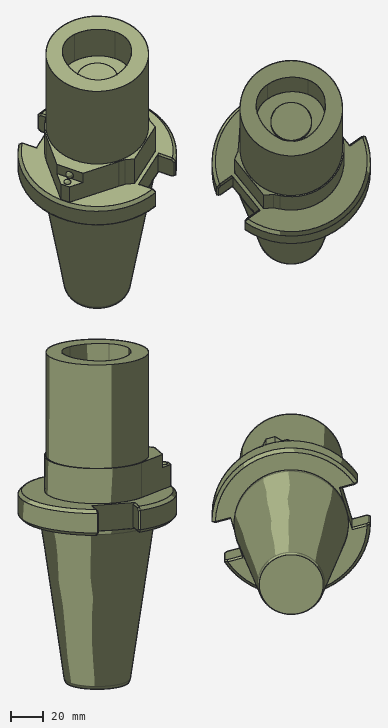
import cadquery as cq
import math

total_height = 208.5
neck_bottom = 102.2
flange_bottom = 104.5
flange_top = 121.0
collar_top = 143.0

taper_small_radius = 20.5
taper_large_radius = 35.0
taper_end_chamfer_width = 0.8
taper_end_chamfer_height = 2.0
flange_radius = 48.5
flange_chamfer = 2.0
barrel_radius = 31.5

collar_radius = 32.3
nose_tip_y = -46.0
nose_tip_half_width = 3.0
lobe_root_x = 24.6
lobe_bend_x = 27.3
lobe_bend_y = 18.0
lobe_half_width = 14.8

ledge_wall_y = -39.2
ledge_depth = 8.3
wall_ball_radius = 2.5
wall_ball_drop = 5.2
ledge_ball_radius = 2.5
ledge_ball_y = -42.8
ledge_ball_sink = 1.3

slot_floor_x = 34.8
left_slot_half_width = 12.7
right_slot_half_width = 13.4
slot_edge_chamfer = 1.0

socket_lobe_reach = 22.0
socket_flank_reach = 20.5
socket_lobe_radius = 16.7
socket_depth = 24.0
boss_radius = 12.5
boss_height = 2.0


def make_taper():
    end_radius = taper_small_radius - taper_end_chamfer_width
    outline = [
        (0, 0),
        (end_radius, 0),
        (taper_small_radius, taper_end_chamfer_height),
        (taper_large_radius, neck_bottom),
        (taper_large_radius, flange_bottom),
        (0, flange_bottom),
    ]
    return cq.Workplane("XZ").polyline(outline).close().revolve(360, (0, 0), (0, 1))


def cut_slot(flange, side, half_width):
    """Cut one drive slot and bevel the edges of its two side walls."""
    length = flange_radius - slot_floor_x
    height = flange_top - flange_bottom
    middle_x = side * (slot_floor_x + length / 2)
    slot = (
        cq.Workplane("XY", origin=(middle_x, 0, flange_bottom))
        .rect(length, 2 * half_width)
        .extrude(height, both=True)
    )
    flange = flange.cut(slot)
    edges = []
    for face in flange.faces("|Y").vals():
        if face.Center().x * side > 0:
            edges += [
                edge for edge in face.Edges()
                if edge.Center().x * side > slot_floor_x + slot_edge_chamfer
            ]
    return flange.newObject(edges).chamfer(slot_edge_chamfer)


def make_flange():
    flange = (
        cq.Workplane("XY", origin=(0, 0, flange_bottom))
        .circle(flange_radius)
        .extrude(flange_top - flange_bottom)
        .edges()
        .chamfer(flange_chamfer)
    )
    flange = cut_slot(flange, -1, left_slot_half_width)
    return cut_slot(flange, 1, right_slot_half_width)


def make_collar():
    height = collar_top - flange_top
    base = cq.Workplane("XY", origin=(0, 0, flange_top))
    collar = base.circle(collar_radius).extrude(height)

    tip_distance = math.hypot(nose_tip_half_width, nose_tip_y)
    tangent_angle = (
        math.atan2(nose_tip_y, nose_tip_half_width) + math.acos(collar_radius / tip_distance)
    )
    tangent_x = collar_radius * math.cos(tangent_angle)
    tangent_y = collar_radius * math.sin(tangent_angle)
    nose = base.polyline([
        (0, 0),
        (-tangent_x, tangent_y),
        (-nose_tip_half_width, nose_tip_y),
        (nose_tip_half_width, nose_tip_y),
        (tangent_x, tangent_y),
    ]).close().extrude(height)

    lobe_root_y = math.sqrt(collar_radius**2 - lobe_root_x**2)
    lobe = base.polyline([
        (0, 0),
        (lobe_root_x, -lobe_root_y),
        (lobe_bend_x, -lobe_bend_y),
        (collar_radius, -lobe_half_width),
        (collar_radius, lobe_half_width),
        (lobe_bend_x, lobe_bend_y),
        (lobe_root_x, lobe_root_y),
    ]).close().extrude(height)
    return collar.union(nose).union(lobe)


def cut_ledge(body):
    ledge_z = collar_top - ledge_depth
    ledge = cq.Workplane("XY").box(
        2 * collar_radius, ledge_wall_y - nose_tip_y, ledge_depth, centered=(True, False, False)
    ).translate((0, nose_tip_y, ledge_z))
    wall_ball = cq.Workplane("XY").sphere(wall_ball_radius).translate(
        (0, ledge_wall_y, collar_top - wall_ball_drop)
    )
    ledge_ball = cq.Workplane("XY").sphere(ledge_ball_radius).translate(
        (0, ledge_ball_y, ledge_z - ledge_ball_sink)
    )
    return body.cut(ledge).union(wall_ball).union(ledge_ball)


def polar(radius, angle):
    return radius * math.cos(angle), radius * math.sin(angle)


def make_socket(floor):
    """Three lobe arcs joined by three tangent, flatter flank arcs; one lobe points toward -X."""
    lobe_center = socket_lobe_reach - socket_lobe_radius
    flank_gap = socket_flank_reach - socket_lobe_radius
    flank_center = (lobe_center**2 - flank_gap**2) / (2 * flank_gap - lobe_center)

    normal_angle = math.atan2(
        flank_center * math.sin(math.pi / 3),
        lobe_center + flank_center * math.cos(math.pi / 3),
    )
    joint_x = lobe_center + socket_lobe_radius * math.cos(normal_angle)
    joint_y = socket_lobe_radius * math.sin(normal_angle)
    joint_radius = math.hypot(joint_x, joint_y)
    joint_angle = math.atan2(joint_y, joint_x)

    lobe_step = 2 * math.pi / 3
    outline = floor.moveTo(*polar(joint_radius, math.pi - joint_angle))
    for i in range(3):
        lobe_angle = math.pi + i * lobe_step
        next_lobe = lobe_angle + lobe_step
        outline = outline.threePointArc(
            polar(socket_lobe_reach, lobe_angle),
            polar(joint_radius, lobe_angle + joint_angle),
        ).threePointArc(
            polar(socket_flank_reach, lobe_angle + lobe_step / 2),
            polar(joint_radius, next_lobe - joint_angle),
        )
    return outline.close().extrude(socket_depth)


def make_barrel():
    barrel = (
        cq.Workplane("XY", origin=(0, 0, collar_top))
        .circle(barrel_radius)
        .extrude(total_height - collar_top)
    )
    floor = cq.Workplane("XY", origin=(0, 0, total_height - socket_depth))
    socket = make_socket(floor)
    boss = floor.circle(boss_radius).extrude(boss_height)
    return barrel.cut(socket).union(boss)


collar = cut_ledge(make_collar())
result = make_taper().union(make_flange()).union(collar).union(make_barrel())